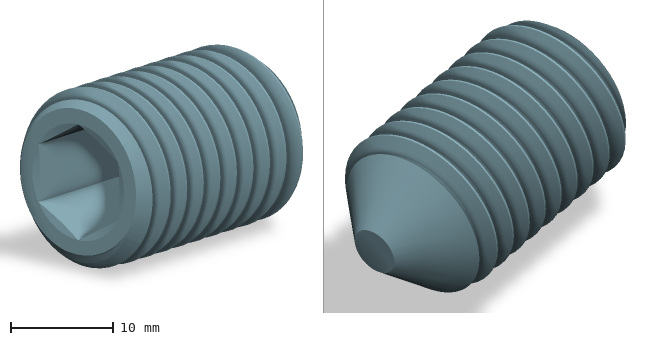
import cadquery as cq
import math

length = 30.0
major_radius = 9.0
rim_radius = 7.45
tip_radius = 2.5

turns_per_length = 12
pitch = length / turns_per_length
root_radius = 7.32
flank_angle = math.radians(30)
crest_width = 0.2
flank_end_radius = 7.4
groove_overshoot = 0.05
runout_turns = 2
first_groove_center = 1.4
blank_seam_turn = 37.0

socket_flats = 10.2
socket_depth = 12.0
corner_turn = 30.0
lead_in_angle = math.radians(15)


def make_blank():
    """Cylinder with a 45 degree chamfer at the rim and a 45 degree cone at the tip."""
    return (
        cq.Workplane("XY")
        .lineTo(rim_radius, 0)
        .lineTo(major_radius, major_radius - rim_radius)
        .lineTo(major_radius, length - (major_radius - tip_radius))
        .lineTo(tip_radius, length)
        .lineTo(0, length)
        .close()
        .revolve(360, (0, 0), (0, 1))
        .rotate((0, 0, 0), (0, 1, 0), blank_seam_turn)
    )


def groove_half_width(radius):
    """Half the axial width between the two flanks of the groove at a radius."""
    return (pitch - crest_width) / 2 - (major_radius - radius) * math.tan(flank_angle)


def make_groove_turn():
    """One turn of the thread groove, starting on the +Z side at Y = 0."""
    outer_radius = major_radius + groove_overshoot
    outer_half = groove_half_width(outer_radius)
    inner_half = groove_half_width(flank_end_radius)
    helix = cq.Wire.makeHelix(pitch, pitch, major_radius)
    groove = (
        cq.Workplane("XZ")
        .moveTo(outer_radius, -outer_half)
        .lineTo(flank_end_radius, -inner_half)
        .threePointArc((root_radius, 0), (flank_end_radius, inner_half))
        .lineTo(outer_radius, outer_half)
        .close()
        .sweep(cq.Workplane(obj=helix), isFrenet=True)
    )
    return groove.rotate((0, 0, 0), (0, 0, 1), -90).rotate((0, 0, 0), (1, 0, 0), -90)


def cut_thread(body):
    """Cut the groove turn by turn, running out past both ends of the body."""
    groove_turn = make_groove_turn()
    for turn in range(-runout_turns, turns_per_length):
        body = body.cut(groove_turn.translate((0, first_groove_center + turn * pitch, 0)))
    return body


def make_socket():
    """Hexagonal pocket with corners toward +Z and -Z, opened by a shallow cone."""
    corner_radius = socket_flats / 2 / math.cos(math.pi / 6)
    cone_depth = corner_radius * math.tan(lead_in_angle)
    hexagon = (
        cq.Workplane("XZ")
        .polygon(6, 2 * corner_radius)
        .extrude(-socket_depth)
        .rotate((0, 0, 0), (0, 1, 0), corner_turn)
    )
    lead_in = (
        cq.Workplane("XY")
        .lineTo(corner_radius, 0)
        .lineTo(0, cone_depth)
        .close()
        .revolve(360, (0, 0), (0, 1))
    )
    return hexagon.union(lead_in)


result = cut_thread(make_blank()).cut(make_socket())